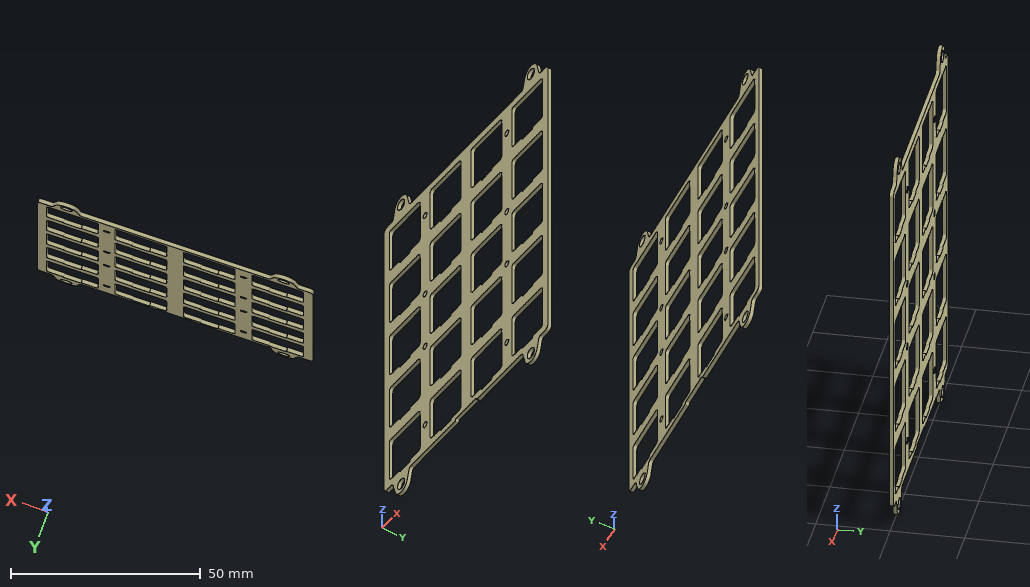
import cadquery as cq
import math

THICKNESS = 1.2
PLATE_WIDTH = 76.7
PLATE_CORNER_RADIUS = 1.5
EDGE_MARGIN = 0.26
COLUMNS = 4
ROWS = 5
KEY_PITCH = (PLATE_WIDTH - 2 * EDGE_MARGIN) / COLUMNS
PLATE_HEIGHT = ROWS * KEY_PITCH + 2 * EDGE_MARGIN

WINDOW_SIZE = 14.3
WINDOW_CORNER_RADIUS = 1.0
CLIP_RELIEF_WIDTH = 4.8
RELIEF_DEPTH = 0.6
RELIEF_BLEND_RADIUS = RELIEF_DEPTH / 2

EDGE_RELIEF_WIDTH = 9.7

OVERALL_HEIGHT = 107.8
LUG_X = 30.3
LUG_TIP_RADIUS = 3.0
LUG_Z = OVERALL_HEIGHT / 2 - LUG_TIP_RADIUS
LUG_SIDE_ANGLE = math.radians(15)
LUG_ROOT_RADIUS = 1.0
LUG_HOLE_DIAMETER = 3.2

SCREW_HOLE_DIAMETER = 1.7
SCREW_X = KEY_PITCH
SCREW_Z = (KEY_PITCH / 2, 2 * KEY_PITCH)


def grid_positions(count):
    """Evenly pitched positions centred on zero."""
    return [(i - (count - 1) / 2) * KEY_PITCH for i in range(count)]


def prism(profile):
    """Closed XZ profile extruded through the thickness, centred on Y = 0."""
    return profile.extrude(THICKNESS / 2, both=True)


def mirrored_points(x, z_values):
    """Points at +/-x and +/-z for every z listed."""
    return [(sx * x, sz * z) for sx in (-1, 1) for z in z_values for sz in (-1, 1)]


def s_wall_relief(width, base_z, direction):
    """Shallow relief whose end walls are S-curves made of two quarter arcs.

    It starts at base_z and deepens towards direction (+1 up, -1 down) in Z.
    """
    radius = RELIEF_BLEND_RADIUS
    half = width / 2
    mid_z = base_z + direction * radius
    deep_z = base_z + direction * RELIEF_DEPTH
    bend = radius * (1 - math.sqrt(0.5))
    profile = (
        cq.Workplane("XZ")
        .moveTo(-half - radius, base_z)
        .threePointArc((-half - bend, base_z + direction * bend), (-half, mid_z))
        .threePointArc((-half + bend, deep_z - direction * bend), (-half + radius, deep_z))
        .lineTo(half - radius, deep_z)
        .threePointArc((half - bend, deep_z - direction * bend), (half, mid_z))
        .threePointArc((half + bend, base_z + direction * bend), (half + radius, base_z))
        .close()
    )
    return prism(profile)


def upper_lug():
    """Lug on the top edge at X = 0, with its root blends and no hole."""
    edge_z = PLATE_HEIGHT / 2
    cos_a = math.cos(LUG_SIDE_ANGLE)
    sin_a = math.sin(LUG_SIDE_ANGLE)
    tangent_x = LUG_TIP_RADIUS * cos_a
    tangent_z = LUG_Z + LUG_TIP_RADIUS * sin_a

    blend_z = edge_z + LUG_ROOT_RADIUS
    blend_x = (LUG_TIP_RADIUS + LUG_ROOT_RADIUS + (LUG_Z - blend_z) * sin_a) / cos_a
    side_end = (blend_x - LUG_ROOT_RADIUS * cos_a, blend_z - LUG_ROOT_RADIUS * sin_a)
    mid_angle = (LUG_SIDE_ANGLE + math.pi / 2) / 2
    blend_mid = (
        blend_x - LUG_ROOT_RADIUS * math.cos(mid_angle),
        blend_z - LUG_ROOT_RADIUS * math.sin(mid_angle),
    )

    inner_z = edge_z - EDGE_MARGIN
    profile = (
        cq.Workplane("XZ")
        .moveTo(-tangent_x, tangent_z)
        .threePointArc((0, OVERALL_HEIGHT / 2), (tangent_x, tangent_z))
        .lineTo(*side_end)
        .threePointArc(blend_mid, (blend_x, edge_z))
        .lineTo(blend_x, inner_z)
        .lineTo(-blend_x, inner_z)
        .lineTo(-blend_x, edge_z)
        .threePointArc((-blend_mid[0], blend_mid[1]), (-side_end[0], side_end[1]))
        .close()
    )
    return prism(profile)


def key_window():
    """Cutter for one key window centred on the origin."""
    opening = prism(cq.Workplane("XZ").rect(WINDOW_SIZE, WINDOW_SIZE))
    opening = opening.edges("|Y").fillet(WINDOW_CORNER_RADIUS)
    return opening.union(s_wall_relief(CLIP_RELIEF_WIDTH, -WINDOW_SIZE / 2, -1))


def round_holes(diameter, points):
    """Cutters for round holes through the thickness."""
    return prism(cq.Workplane("XZ").pushPoints(points).circle(diameter / 2))


plate = prism(cq.Workplane("XZ").rect(PLATE_WIDTH, PLATE_HEIGHT))
plate = plate.edges("|Y").fillet(PLATE_CORNER_RADIUS)

lug = upper_lug()
for x in (-LUG_X, LUG_X):
    plate = plate.union(lug.translate((x, 0, 0)))
    plate = plate.union(lug.mirror("XY").translate((x, 0, 0)))

window = key_window()
for x in grid_positions(COLUMNS):
    for z in grid_positions(ROWS):
        plate = plate.cut(window.translate((x, 0, z)))

plate = plate.cut(s_wall_relief(EDGE_RELIEF_WIDTH, -PLATE_HEIGHT / 2, 1))
plate = plate.cut(round_holes(LUG_HOLE_DIAMETER, mirrored_points(LUG_X, [LUG_Z])))
plate = plate.cut(round_holes(SCREW_HOLE_DIAMETER, mirrored_points(SCREW_X, SCREW_Z)))

result = plate